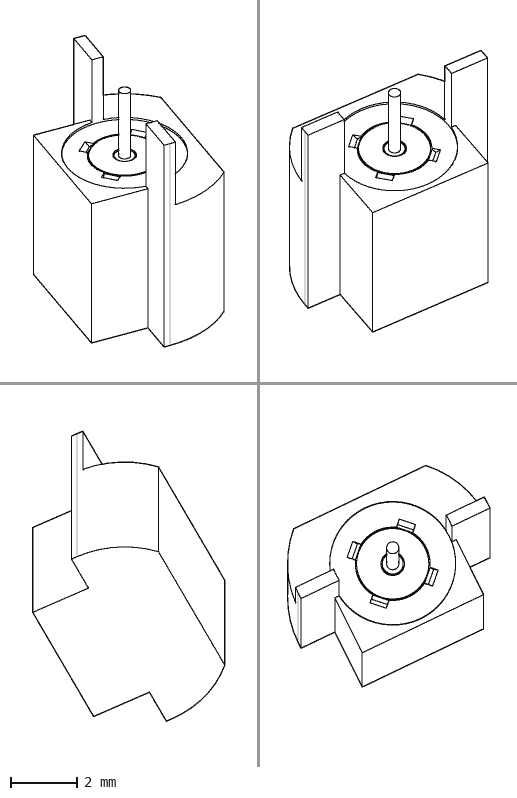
import cadquery as cq
import math

total_height = 7.37
body_height = 5.085

back_radius = 3.18
back_flat_y = 2.27
front_y = -2.08
block_width = 4.08
tab_thickness = 0.38

recess_radius = 1.9
recess_depth = 0.075
floor_z = body_height - recess_depth

groove_radius = 1.13
disc_radius = 1.09
groove_depth = 0.04

collar_radius = 0.355
collar_top_radius = 0.32
collar_height = 0.04
collar_well_depth = 0.06
pin_radius = 0.185

notch_count = 4
notch_start_angle = 45
notch_outer = 1.36
notch_length = 0.295
notch_width = 0.515
notch_depth = notch_length / 2


def box_between(x_min, x_max, y_min, y_max, height):
    return cq.Workplane("XY").box(
        x_max - x_min, y_max - y_min, height, centered=False
    ).translate((x_min, y_min, 0))


def make_disc(radius, base_z, height):
    return cq.Workplane("XY", origin=(0, 0, base_z)).circle(radius).extrude(height)


def make_housing():
    flat_half_width = math.sqrt(back_radius**2 - back_flat_y**2)
    arc_angle = math.atan2(back_flat_y, flat_half_width) / 2
    arc_x = back_radius * math.cos(arc_angle)
    arc_y = back_radius * math.sin(arc_angle)
    full_height_back = (
        cq.Workplane("XY")
        .moveTo(-back_radius, -tab_thickness / 2)
        .lineTo(back_radius, -tab_thickness / 2)
        .lineTo(back_radius, 0)
        .threePointArc((arc_x, arc_y), (flat_half_width, back_flat_y))
        .lineTo(-flat_half_width, back_flat_y)
        .threePointArc((-arc_x, arc_y), (-back_radius, 0))
        .close()
        .extrude(total_height)
    )
    back = full_height_back.intersect(
        box_between(-back_radius, back_radius, -tab_thickness / 2, back_flat_y, body_height)
    )
    tabs = full_height_back.intersect(
        box_between(-back_radius, back_radius, -tab_thickness / 2, tab_thickness / 2, total_height)
    )
    block = box_between(-block_width / 2, block_width / 2, front_y, 0, body_height)
    recess = make_disc(recess_radius, floor_z, total_height - floor_z)
    return back.union(block).union(tabs).cut(recess)


def make_notch(angle):
    notch = (
        cq.Workplane("XZ", origin=(0, 0, floor_z))
        .moveTo(notch_outer, 0)
        .lineTo(notch_outer - notch_length / 2, -notch_depth)
        .lineTo(notch_outer - notch_length, 0)
        .close()
        .extrude(notch_width / 2, both=True)
    )
    return notch.rotate((0, 0, 0), (0, 0, 1), angle)


result = make_housing()
for index in range(notch_count):
    result = result.cut(make_notch(notch_start_angle + index * 360 / notch_count))

result = result.cut(make_disc(groove_radius, floor_z - groove_depth, groove_depth))

result = result.union(make_disc(disc_radius, floor_z - notch_depth, notch_depth))

well_z = floor_z - collar_well_depth
result = result.cut(make_disc(collar_radius, well_z, collar_well_depth))
collar = cq.Solid.makeCone(collar_radius, collar_top_radius, collar_height, pnt=cq.Vector(0, 0, well_z))
result = result.union(cq.Workplane(collar))
result = result.union(make_disc(pin_radius, well_z, total_height - well_z))